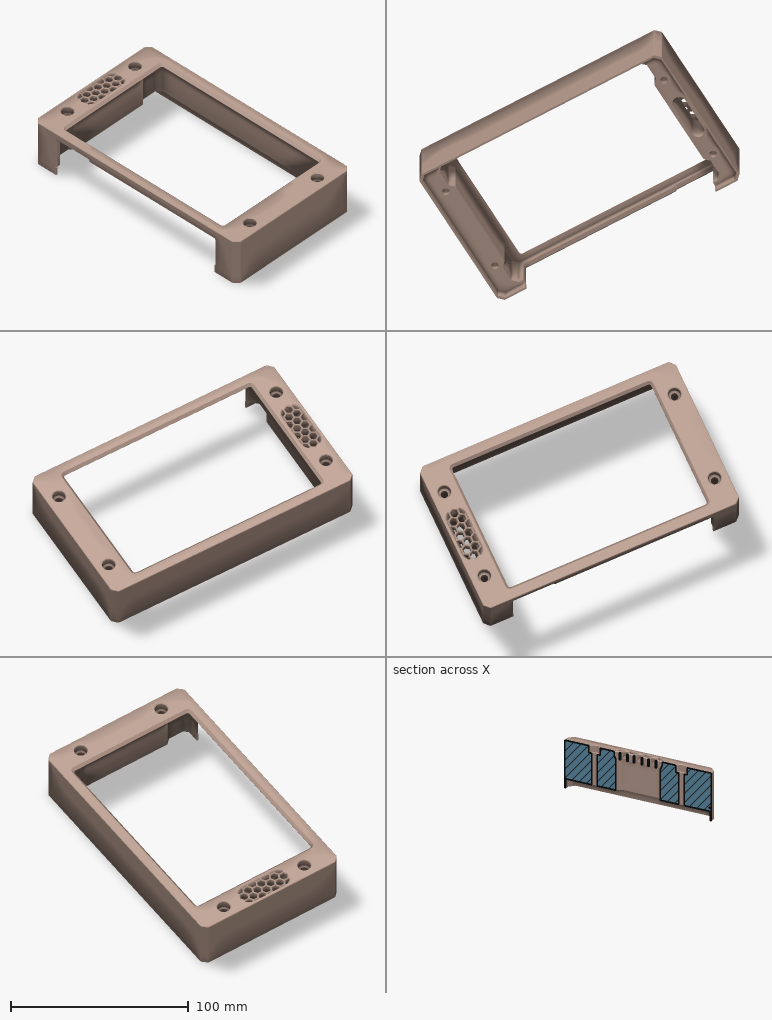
import cadquery as cq
import math

length = 158.0
width = 93.0
height = 30.2
corner_cut = 3.2
corner_blend = 1.0
top_bevel = 0.3

window_length = 122.8
window_width = 78.5
window_corner_radius = 1.5
lip_thickness = 1.7
lip_bevel = 1.6

cavity_length = 135.5
cavity_width = 86.5
cavity_corner_cut = 3.0
pad_depth = 3.0
pad_length = 55.0

step_height = 5.7
rim_thickness = 1.1

opening_length = 123.5
opening_top = 24.0
raised_top = 25.6
raised_end = -36.5
opening_corner_cut = 0.8
flare = 0.6
flare_bottom = step_height - flare

screw_x = 71.1
screw_y = 27.5
screw_diameter = 4.3
head_diameter = 7.5
head_depth = 4.5
head_bevel = 0.4

grille_x = -screw_x
shaft_length = 28.6
shaft_width = 7.7
funnel_spread = 2.0
grille_depth = 4.7
cell_pitch = 5.2
cell_flats = 4.1
cell_bevel = 0.5
cell_rows = 3
cells_even_row = 4
cells_odd_row = 3

front_face = -width / 2
cutter_overrun = 1.6


def make_block():
    block = cq.Workplane("XY").box(length, width, height, centered=(True, True, False))
    block = block.edges("|Z").chamfer(corner_cut)
    block = block.edges("|Z").fillet(corner_blend)
    return block.faces(">Z").chamfer(top_bevel)


def window_sketch():
    return cq.Sketch().rect(window_length, window_width).vertices().fillet(window_corner_radius)


def make_window():
    opening = cq.Workplane("XY").placeSketch(window_sketch()).extrude(height)
    bevel = (
        cq.Workplane("XY").workplane(offset=height - lip_bevel)
        .placeSketch(window_sketch())
        .extrude(lip_bevel, taper=-45)
    )
    return opening.union(bevel)


def make_cavity():
    cavity_height = height - lip_thickness
    cavity = cq.Workplane("XY").box(
        cavity_length, cavity_width, cavity_height, centered=(True, True, False)
    )
    cavity = cavity.edges("|Z").chamfer(cavity_corner_cut)
    half_flat = pad_length / 2
    for side in (-1, 1):
        wall_x = side * cavity_length / 2
        face_x = wall_x - side * pad_depth
        pad = (
            cq.Workplane("XY")
            .polyline([
                (wall_x, half_flat + pad_depth),
                (face_x, half_flat),
                (face_x, -half_flat),
                (wall_x, -half_flat - pad_depth),
            ])
            .close()
            .extrude(cavity_height)
        )
        cavity = cavity.cut(pad)
    return cavity


def make_base_step():
    step = cq.Workplane("XY").box(
        length - 2 * rim_thickness, width - 2 * rim_thickness, step_height, centered=(True, True, False)
    )
    return step.edges("|Z").chamfer(corner_cut)


def opening_outline(y, grow, bottom):
    """Closed outline of the front opening at depth y, enlarged by grow at its ends and top."""
    half = opening_length / 2 + grow
    cut = opening_corner_cut
    low_top = opening_top + grow
    high_top = raised_top + grow
    step_x = raised_end + grow
    plane = cq.Plane(origin=(0, y, 0), xDir=(1, 0, 0), normal=(0, -1, 0))
    return (
        cq.Workplane(plane)
        .moveTo(-half, bottom)
        .lineTo(-half, high_top - cut)
        .lineTo(-half + cut, high_top)
        .lineTo(step_x - cut, high_top)
        .lineTo(step_x, high_top - cut)
        .lineTo(step_x, low_top)
        .lineTo(half - cut, low_top)
        .lineTo(half, low_top - cut)
        .lineTo(half, bottom)
        .close()
    )


def make_front_opening():
    depth = (width - cavity_width) / 2 + cutter_overrun
    straight = opening_outline(front_face + depth, 0, 0).extrude(depth)
    inner = opening_outline(front_face + flare, 0, flare_bottom).val()
    outer = opening_outline(front_face, flare, flare_bottom).val()
    return straight.union(cq.Workplane(cq.Solid.makeLoft([inner, outer], True)))


def make_screw_holes():
    places = [(x, y) for x in (-screw_x, screw_x) for y in (-screw_y, screw_y)]
    top = cq.Workplane("XY").workplane(offset=height).pushPoints(places)
    holes = top.circle(screw_diameter / 2).extrude(-height)
    holes = holes.union(top.circle(head_diameter / 2).extrude(-head_depth))
    mouth_radius = head_diameter / 2 + head_bevel
    return holes.union(top.circle(mouth_radius).extrude(-head_bevel, taper=45))


def grille_slot(z, spread):
    """Outline of the grille slot at height z, widened by spread on each side."""
    return (
        cq.Workplane("XY").workplane(offset=z).center(grille_x, 0)
        .slot2D(shaft_length + 2 * spread, shaft_width + 2 * spread, 90)
    )


def make_cell():
    """One honeycomb cell with corners pointing along Y and a bevelled mouth at the top."""
    diameter = cell_flats * 2 / math.sqrt(3)
    corner_angle = 30
    floor = height - grille_depth
    mouth = height - cell_bevel
    prism = cq.Workplane("XY").workplane(offset=floor).transformed(rotate=(0, 0, corner_angle))
    prism = prism.polygon(6, diameter).extrude(grille_depth)
    flared = cq.Workplane("XY").workplane(offset=mouth).transformed(rotate=(0, 0, corner_angle))
    flared = flared.polygon(6, diameter).extrude(cell_bevel, taper=-45)
    return prism.union(flared)


def make_grille():
    floor = height - grille_depth
    mouth = height - cell_bevel
    lower = grille_slot(floor, 0).val()
    upper = grille_slot(mouth, funnel_spread).val()
    funnel = cq.Workplane(cq.Solid.makeLoft([lower, upper], True))
    funnel = funnel.union(grille_slot(mouth, funnel_spread).extrude(cell_bevel, taper=-45))

    grille = grille_slot(0, 0).extrude(floor)
    row_pitch = cell_pitch * math.sqrt(3) / 2
    cell = make_cell()
    for row in range(-cell_rows, cell_rows + 1):
        count = cells_odd_row if row % 2 else cells_even_row
        for index in range(count):
            across = (index - (count - 1) / 2) * cell_pitch
            moved = cell.translate((grille_x + across, row * row_pitch, 0))
            grille = grille.union(funnel.intersect(moved))
    return grille


result = make_block()
result = result.cut(make_window())
result = result.cut(make_cavity())
result = result.cut(make_base_step())
result = result.cut(make_front_opening())
result = result.cut(make_screw_holes())
result = result.cut(make_grille())